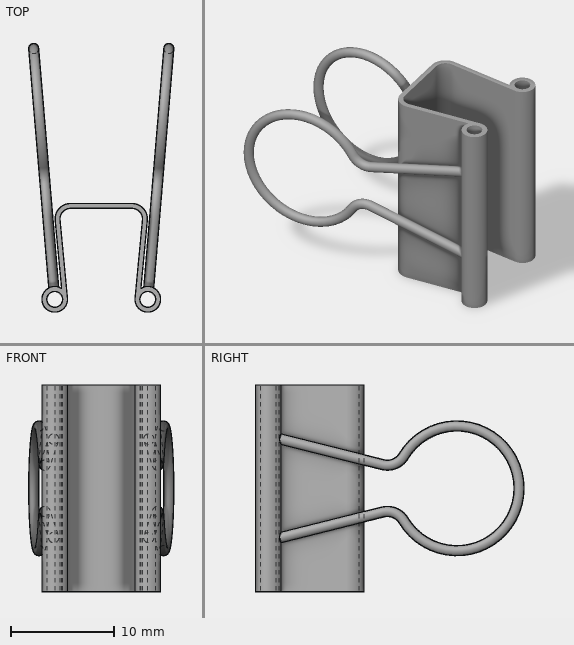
import cadquery as cq
import math

clip_height = 20.0
sheet_thickness = 0.5
bore_diameter = 1.5
barrel_radius = bore_diameter / 2 + sheet_thickness
barrel_x = 4.5
back_y = 9.28
bend_x = 2.95
bend_inner_radius = 1.01
bend_outer_radius = bend_inner_radius + sheet_thickness
bend_y = back_y - bend_outer_radius

wire_diameter = 1.0
handle_tilt = 4.8
handle_reach = 24.33
loop_radius = 6.03
loop_opening = 31.2
neck_radius = 1.85
leg_slope = 14.0
leg_start = (bore_diameter / 2 + barrel_radius) / 2


def polar(center, radius, angle):
    """Point at a radius and an angle in degrees from a center."""
    turn = math.radians(angle)
    return (center[0] + radius * math.cos(turn), center[1] + radius * math.sin(turn))


def mirror_x(point):
    return (-point[0], point[1])


def make_clip():
    """Bent sheet whose right arm is tangent to the barrel and to the back bend."""
    barrel_center = (barrel_x, 0)
    bend_center = (bend_x, bend_y)
    run_x = barrel_x - bend_x
    tangent_spread = math.acos((barrel_radius + bend_inner_radius) / math.hypot(run_x, bend_y))
    arm_normal = math.degrees(tangent_spread - math.atan2(bend_y, run_x))
    middle = (arm_normal + 90) / 2

    inner_foot = polar(barrel_center, barrel_radius, 180 + arm_normal)
    outer_foot = polar(barrel_center, bore_diameter / 2, 180 + arm_normal)
    outer_bend_start = polar(bend_center, bend_outer_radius, arm_normal)
    outer_bend_middle = polar(bend_center, bend_outer_radius, middle)
    inner_bend_start = polar(bend_center, bend_inner_radius, arm_normal)
    inner_bend_middle = polar(bend_center, bend_inner_radius, middle)
    outer_back = (bend_x, back_y)
    inner_back = (bend_x, back_y - sheet_thickness)

    sheet = (
        cq.Workplane("XY", origin=(0, 0, -clip_height / 2))
        .moveTo(*outer_foot)
        .lineTo(*outer_bend_start)
        .threePointArc(outer_bend_middle, outer_back)
        .lineTo(*mirror_x(outer_back))
        .threePointArc(mirror_x(outer_bend_middle), mirror_x(outer_bend_start))
        .lineTo(*mirror_x(outer_foot))
        .lineTo(*mirror_x(inner_foot))
        .lineTo(*mirror_x(inner_bend_start))
        .threePointArc(mirror_x(inner_bend_middle), mirror_x(inner_back))
        .lineTo(*inner_back)
        .threePointArc(inner_bend_middle, inner_bend_start)
        .lineTo(*inner_foot)
        .close()
        .extrude(clip_height)
    )
    barrel_places = cq.Workplane("XY", origin=(0, 0, -clip_height / 2)).pushPoints(
        [(-barrel_x, 0), (barrel_x, 0)]
    )
    barrels = barrel_places.circle(barrel_radius).extrude(clip_height)
    bores = barrel_places.circle(bore_diameter / 2).extrude(clip_height)
    return sheet.union(barrels).cut(bores)


def make_handle():
    """Right handle: two legs, two reverse-curved necks and a loop, swept as one wire."""
    loop_center = (handle_reach - loop_radius, 0)
    neck_angle = 180 - loop_opening
    neck_center = polar(loop_center, loop_radius + neck_radius, neck_angle)
    loop_end = polar(loop_center, loop_radius, neck_angle)
    neck_end_angle = -90 - leg_slope
    neck_middle = polar(neck_center, neck_radius, (neck_end_angle - loop_opening) / 2)
    leg_end = polar(neck_center, neck_radius, neck_end_angle)
    leg_rise = (leg_end[0] - leg_start) * math.tan(math.radians(leg_slope))
    leg_foot = (leg_start, leg_end[1] + leg_rise)

    def lower(point):
        return (point[0], -point[1])

    path = (
        cq.Workplane("YZ")
        .moveTo(*leg_foot)
        .lineTo(*leg_end)
        .threePointArc(neck_middle, loop_end)
        .threePointArc((handle_reach, 0), lower(loop_end))
        .threePointArc(lower(neck_middle), lower(leg_end))
        .lineTo(*lower(leg_foot))
    )
    leg_direction = (0, leg_end[0] - leg_foot[0], leg_end[1] - leg_foot[1])
    section = cq.Plane(origin=(0, *leg_foot), xDir=(1, 0, 0), normal=leg_direction)
    wire = cq.Workplane(section).circle(wire_diameter / 2).sweep(path)
    return wire.rotate((0, 0, 0), (0, 0, 1), -handle_tilt).translate((barrel_x, 0, 0))


right_handle = make_handle()
left_handle = right_handle.mirror("YZ")
result = make_clip().union(right_handle).union(left_handle)